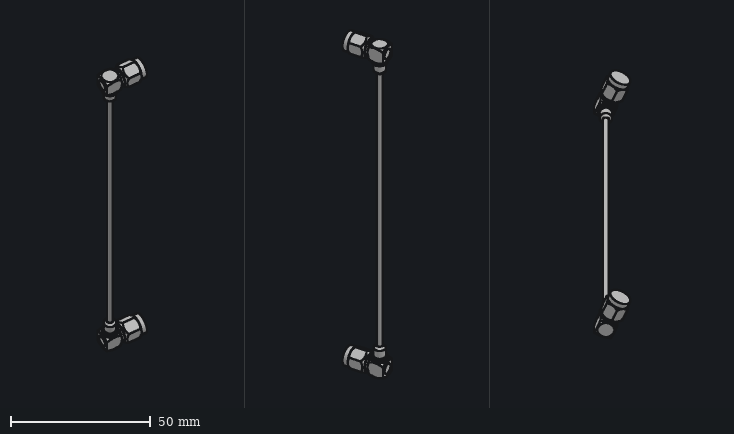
import cadquery as cq
import math


plug_spacing = 135.87
half_spacing = plug_spacing / 2

block_side = 6.5
half_block = block_side / 2
corner_cut_radius = 3.05
corner_cut_slope = math.tan(math.radians(30))
block_corner_radius = half_block * math.sqrt(2)

neck_radius = 3.0
neck_length = 1.05

cap_radius = 2.0
cap_depth = 1.0

shoulder_radius = 2.6
flange_radius = 2.75
flange_start = 4.2
flange_end = 4.6
sleeve_radius = 2.25
sleeve_cone_start = 8.0
sleeve_end = 9.1
sleeve_mouth_radius = 1.2

cable_radius = 1.1

nut_flats = 8.0
nut_corner_radius = nut_flats / math.sqrt(3)
nut_back = half_block + neck_length
nut_back_radius = 3.5
nut_back_cone = 1.25
nut_collar_radius = 3.95
nut_hex_end = 11.0
nut_front_cone = 0.7
nut_end = 13.25


def turned_along_y(profile):
    """Solid of revolution about Y from (radius, y) points."""
    return cq.Workplane("XY").polyline(profile).close().revolve(360, (0, 0, 0), (0, 1, 0))


def turned_along_z(profile):
    """Solid of revolution about Z from (radius, z) points."""
    return cq.Workplane("XZ").polyline(profile).close().revolve(360, (0, 0, 0), (0, 1, 0))


def make_elbow():
    """Elbow of the upper plug, centred on the crossing of plug axis and cable axis."""
    cone_drop = (block_corner_radius - corner_cut_radius) * corner_cut_slope
    block = cq.Workplane("XY").box(block_side, block_side, block_side)
    cable_end_envelope = turned_along_z([
        (0, -half_block),
        (corner_cut_radius, -half_block),
        (block_corner_radius, -half_block + cone_drop),
        (block_corner_radius, half_block - cone_drop),
        (corner_cut_radius, half_block),
        (0, half_block),
    ])
    neck_end_envelope = turned_along_y([
        (0, -half_block),
        (block_corner_radius, -half_block),
        (block_corner_radius, half_block - cone_drop),
        (corner_cut_radius, half_block),
        (0, half_block),
    ])
    block = block.intersect(cable_end_envelope).intersect(neck_end_envelope)

    neck = cq.Workplane("XZ").circle(neck_radius).extrude(-nut_back)
    sleeve = turned_along_z([
        (0, 0),
        (shoulder_radius, 0),
        (shoulder_radius, -flange_start),
        (flange_radius, -flange_start),
        (flange_radius, -flange_end),
        (sleeve_radius, -flange_end),
        (sleeve_radius, -sleeve_cone_start),
        (sleeve_mouth_radius, -sleeve_end),
        (0, -sleeve_end),
    ])
    cable_hole = cq.Workplane("XY").workplane(offset=-sleeve_end).circle(cable_radius)
    cable_hole = cable_hole.extrude(sleeve_end - flange_start)
    return block.union(neck).union(sleeve).cut(cable_hole).cut(make_cap())


def make_cap():
    """Round cap set flush into the rear face of the elbow."""
    return cq.Workplane("XZ", origin=(0, -half_block, 0)).circle(cap_radius).extrude(-cap_depth)


def make_nut():
    """Hexagon nut with coned ends and a round front collar."""
    hexagon = cq.Workplane("XZ", origin=(0, nut_back, 0))
    hexagon = hexagon.polygon(6, nut_flats, circumscribed=True).extrude(nut_back - nut_end)
    envelope = turned_along_y([
        (0, nut_back),
        (nut_back_radius, nut_back),
        (nut_corner_radius, nut_back + nut_back_cone),
        (nut_corner_radius, nut_hex_end - nut_front_cone),
        (nut_collar_radius, nut_hex_end),
        (nut_collar_radius, nut_end),
        (0, nut_end),
    ])
    return hexagon.intersect(envelope)


def make_cable():
    """Straight cable reaching the flange of both sleeves."""
    cable_half = half_spacing - flange_start
    return cq.Workplane("XY").circle(cable_radius).extrude(cable_half, both=True)


bodies = [make_cable().val()]
for make_body in (make_elbow, make_cap, make_nut):
    upper = make_body().translate((0, 0, half_spacing))
    bodies.append(upper.val())
    bodies.append(upper.mirror("XY").val())

result = cq.Compound.makeCompound(bodies)